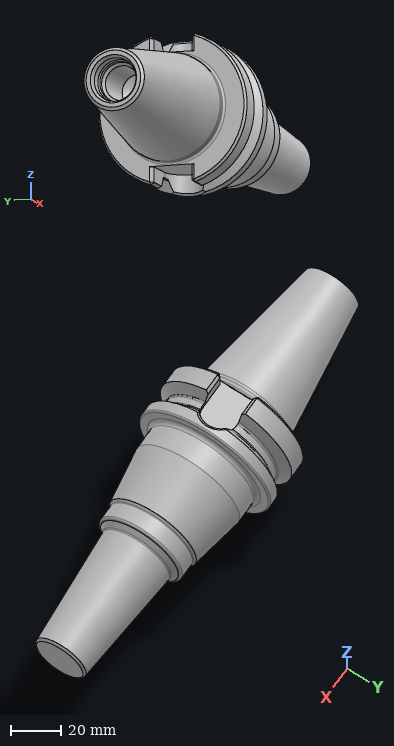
import cadquery as cq
import math

length = 195.4

taper_slope = 7 / 48
shank_end_radius = 12.7
shank_chamfer_length = 0.8
shank_chamfer_height = 1.2
taper_length = 63.3
shank_land_length = 1.2
shank_neck_drop = 0.2
shank_neck_drop_length = 1.4
shank_round = 1.0

flange_start = 67.5
flange_end = 92.2
flange_radius = 31.5
flange_front_chamfer = 1.0
flange_rear_round = 0.8
groove_start = 76.5
groove_end = 86.8
groove_floor_width = 4.1
groove_radius = 26.4
groove_corner_round = 1.0
groove_middle = (groove_start + groove_end) / 2

slot_half_width = 8.0
slot_floor_height = 22.9
slot_arc_center = 81.0
slot_end = slot_arc_center + slot_half_width
slot_side_chamfer = 1.4
slot_end_chamfer = 1.0

collar_radius = 25.0
collar_round = 2.0
collar_end = 104.1
body_end = 129.0
body_end_radius = 21.0
ring_radius = 20.0
ring_start = 130.1
ring_foot_round = 0.4
ring_end = 138.3
ring_round = 1.0
ring_face_foot_radius = 18.5
nose_start = 140.7
nose_start_radius = 16.2
nose_foot_round = 1.0
nose_end_radius = 12.1
nose_end_chamfer = 1.0

mouth_radius = 9.8
pilot_radius = 8.8
pilot_start = 2.0
pilot_end = 6.0
thread_radius = 8.2
thread_end = 8.8
core_radius = 7.0
core_end = 29.3
tip_half_angle = math.radians(59)

close_enough = 0.2


def revolve_about_x(corners):
    """Revolve a closed outline of (x, radius) corners; a third entry rounds that corner."""
    outline = cq.Workplane("XY").moveTo(*corners[0][:2])
    neighbours = zip(corners, corners[1:], corners[2:] + corners[:1])
    for before, corner, after in neighbours:
        if len(corner) == 2:
            outline = outline.lineTo(*corner)
            continue
        start, middle, end = corner_arc(before, corner, after)
        outline = outline.lineTo(*start).threePointArc(middle, end)
    return outline.close().revolve(360, (0, 0, 0), (1, 0, 0))


def corner_arc(before, corner, after):
    """Start, middle and end of the arc that is tangent to both sides of a corner."""
    point = cq.Vector(*corner[:2])
    arc_radius = corner[2]
    back = (cq.Vector(*before[:2]) - point).normalized()
    ahead = (cq.Vector(*after[:2]) - point).normalized()
    half_angle = back.getAngle(ahead) / 2
    setback = arc_radius / math.tan(half_angle)
    rise = arc_radius / math.sin(half_angle) - arc_radius
    inward = (back + ahead).normalized()
    arc_points = (point + back * setback, point + inward * rise, point + ahead * setback)
    return [(p.x, p.y) for p in arc_points]


def make_body():
    taper_end_radius = shank_end_radius + taper_slope * taper_length
    land_end = taper_length + shank_land_length
    neck_radius = taper_end_radius - shank_neck_drop
    groove_floor_start = groove_middle - groove_floor_width / 2
    groove_floor_end = groove_middle + groove_floor_width / 2
    return revolve_about_x([
        (0, 0),
        (0, shank_end_radius - shank_chamfer_height),
        (shank_chamfer_length, shank_end_radius + taper_slope * shank_chamfer_length),
        (taper_length, taper_end_radius),
        (land_end, taper_end_radius),
        (land_end + shank_neck_drop_length, neck_radius),
        (flange_start, neck_radius, shank_round),
        (flange_start, flange_radius - flange_front_chamfer),
        (flange_start + flange_front_chamfer, flange_radius),
        (groove_start, flange_radius),
        (groove_floor_start, groove_radius, groove_corner_round),
        (groove_floor_end, groove_radius, groove_corner_round),
        (groove_end, flange_radius),
        (flange_end, flange_radius, flange_rear_round),
        (flange_end, collar_radius, collar_round),
        (collar_end, collar_radius),
        (body_end, body_end_radius),
        (ring_start, ring_radius, ring_foot_round),
        (ring_end, ring_radius, ring_round),
        (ring_end, ring_face_foot_radius),
        (nose_start, nose_start_radius, nose_foot_round),
        (length - nose_end_chamfer, nose_end_radius),
        (length, nose_end_radius - nose_end_chamfer),
        (length, 0),
    ])


def make_bore():
    return revolve_about_x([
        (0, 0),
        (0, mouth_radius),
        (pilot_start, pilot_radius),
        (pilot_end, pilot_radius),
        (pilot_end + pilot_radius - thread_radius, thread_radius),
        (thread_end, thread_radius),
        (thread_end + thread_radius - core_radius, core_radius),
        (core_end, core_radius),
        (core_end + core_radius / math.tan(tip_half_angle), 0),
    ])


def make_slot():
    return (
        cq.Workplane("XY", origin=(0, 0, slot_floor_height))
        .moveTo(flange_start, -slot_half_width)
        .lineTo(slot_arc_center, -slot_half_width)
        .threePointArc((slot_end, 0), (slot_arc_center, slot_half_width))
        .lineTo(flange_start, slot_half_width)
        .close()
        .extrude(flange_radius - slot_floor_height)
    )


def is_slot_side_edge(edge):
    """True for the edges where the slot walls meet the outside of the flange, ahead of the groove."""
    middle = edge.positionAt(0.5)
    in_slot = abs(middle.y) < slot_half_width + close_enough
    above_floor = abs(middle.z) > slot_floor_height + close_enough
    ahead_of_groove = flange_start - close_enough < middle.x < groove_start - close_enough
    return in_slot and above_floor and ahead_of_groove


def is_slot_end_edge(edge):
    """True for the edges where the round slot ends meet the outside of the flange, behind the groove."""
    middle = edge.positionAt(0.5)
    at_slot_end = abs(middle.x - slot_end) < close_enough
    return at_slot_end and abs(abs(middle.z) - flange_radius) < close_enough


def chamfer_edges(body, is_wanted, size):
    return body.newObject([e for e in body.edges().vals() if is_wanted(e)]).chamfer(size)


slot = make_slot()
result = make_body().cut(make_bore())
for turn in (0, 180):
    result = result.cut(slot.rotate((0, 0, 0), (1, 0, 0), turn))
result = chamfer_edges(result, is_slot_side_edge, slot_side_chamfer)
result = chamfer_edges(result, is_slot_end_edge, slot_end_chamfer)